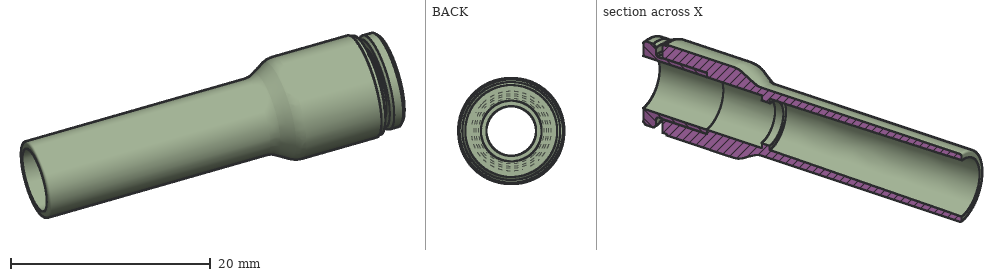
import cadquery as cq
import math

LENGTH = 38.07

BODY_R = 5.33
TUBE_R = 4.0
TAPER_START_Y = 24.35
TAPER_ANGLE = 30.0
TAPER_ROUNDING = 1.98
RIM_DEPTH = 0.15
RIM_LENGTH = 0.45
TUBE_END_ROUNDING = 0.25

TUBE_BORE_MOUTH_R = 3.27
TUBE_BORE_INNER_R = 2.97
STOP_BORE_R = 2.47
STOP_LENGTH = 1.0
SOCKET_R = 3.05
SOCKET_FLOOR_Y = 23.9

FLANGE_R = 4.9
FLANGE_LENGTH = 1.6
FLANGE_REAR_CHAMFER = 0.3
FLANGE_FRONT_CHAMFER = 0.35
SHANK_R = 3.55
SHANK_ROOT_CHAMFER = 0.2
SHANK_END_Y = 30.45
SLEEVE_GAP = 0.72

FLANGE_FRONT_Y = LENGTH - FLANGE_LENGTH
BODY_END_Y = FLANGE_FRONT_Y - SLEEVE_GAP
RIM_Y = BODY_END_Y - RIM_LENGTH
RIM_R = BODY_R - RIM_DEPTH
STOP_Y = SOCKET_FLOOR_Y - STOP_LENGTH
TAPER_END_Y = TAPER_START_Y + (BODY_R - TUBE_R) / math.tan(math.radians(TAPER_ANGLE))


def revolve_about_y(outline):
    """Close an XY outline and turn it once around the Y axis."""
    return outline.close().revolve(360, (0, 0, 0), (0, 1, 0))


def circular_edge_at(y):
    """Selector for the circular edges lying in the plane at height y."""
    margin = 0.005
    reach = 2 * BODY_R
    return cq.selectors.BoxSelector((-reach, y - margin, -reach), (reach, y + margin, reach))


def make_body():
    """Tube, cone and housing in one piece, with the stepped passage through it."""
    outside = revolve_about_y(
        cq.Workplane("XY")
        .moveTo(0, 0)
        .lineTo(TUBE_R, 0)
        .lineTo(TUBE_R, TAPER_START_Y)
        .lineTo(BODY_R, TAPER_END_Y)
        .lineTo(BODY_R, RIM_Y)
        .lineTo(RIM_R, RIM_Y)
        .lineTo(RIM_R, BODY_END_Y)
        .lineTo(0, BODY_END_Y)
    )
    for corner_y in (TAPER_START_Y, TAPER_END_Y):
        outside = outside.edges(circular_edge_at(corner_y)).fillet(TAPER_ROUNDING)
    outside = outside.faces("<Y").edges().fillet(TUBE_END_ROUNDING)

    passage = revolve_about_y(
        cq.Workplane("XY")
        .moveTo(0, 0)
        .lineTo(TUBE_BORE_MOUTH_R, 0)
        .lineTo(TUBE_BORE_INNER_R, STOP_Y)
        .lineTo(STOP_BORE_R, STOP_Y)
        .lineTo(STOP_BORE_R, SOCKET_FLOOR_Y)
        .lineTo(SOCKET_R, SOCKET_FLOOR_Y)
        .lineTo(SOCKET_R, SHANK_END_Y)
        .lineTo(SHANK_R, SHANK_END_Y)
        .lineTo(SHANK_R, BODY_END_Y)
        .lineTo(0, BODY_END_Y)
    )
    return outside.cut(passage)


def make_release_sleeve():
    """Flanged sleeve whose shank fills the mouth of the housing."""
    return revolve_about_y(
        cq.Workplane("XY")
        .moveTo(SOCKET_R, SHANK_END_Y)
        .lineTo(SHANK_R, SHANK_END_Y)
        .lineTo(SHANK_R, FLANGE_FRONT_Y - SHANK_ROOT_CHAMFER)
        .lineTo(SHANK_R + SHANK_ROOT_CHAMFER, FLANGE_FRONT_Y)
        .lineTo(FLANGE_R - FLANGE_FRONT_CHAMFER, FLANGE_FRONT_Y)
        .lineTo(FLANGE_R, FLANGE_FRONT_Y + FLANGE_FRONT_CHAMFER)
        .lineTo(FLANGE_R, LENGTH - FLANGE_REAR_CHAMFER)
        .lineTo(FLANGE_R - FLANGE_REAR_CHAMFER, LENGTH)
        .lineTo(SOCKET_R, LENGTH)
    )


body = make_body()
release_sleeve = make_release_sleeve()

result = cq.Compound.makeCompound([body.val(), release_sleeve.val()])